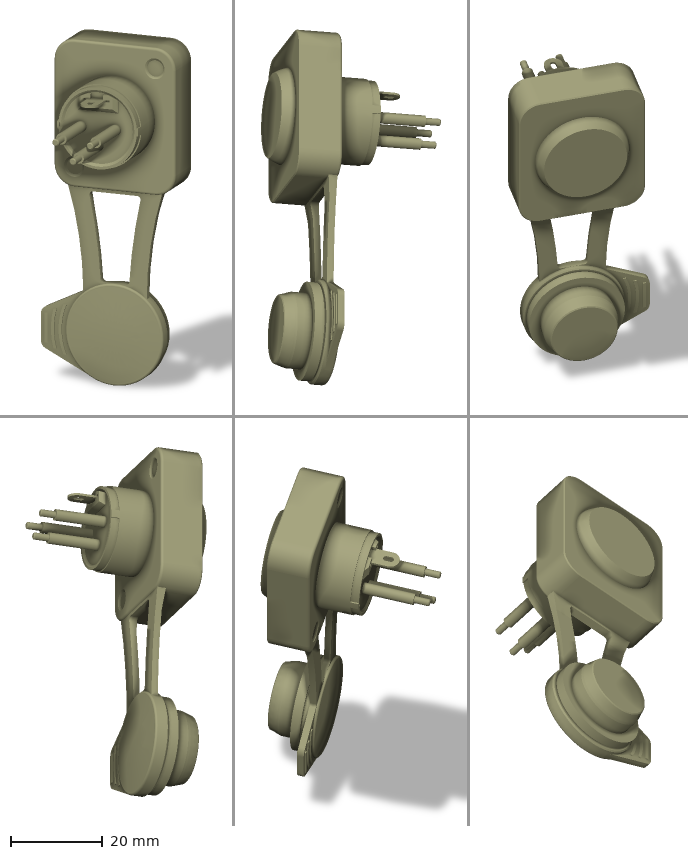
import math

import cadquery as cq


BODY_WIDTH = 28.5
BODY_HEIGHT = 33.3
BODY_DEPTH = 9.75
BODY_CORNER_RADIUS = 4.75
BODY_FRONT_FILLET = 0.6
BODY_BACK_CHAMFER = 0.25
BODY_BOTTOM = -BODY_HEIGHT / 2

COLLAR_BASE_RADIUS = 10.7
COLLAR_TIP_RADIUS = 9.4
COLLAR_HEIGHT = 2.75
COLLAR_BULGE = 0.15

SCREW_X = 9.5
SCREW_Z = 12.0
SCREW_RIM_RADIUS = 2.35
SCREW_FLOOR_RADIUS = 1.85
SCREW_DEPTH = 0.4

BARREL_RADIUS = 9.55
BARREL_SHOULDER_Y = -7.95
BARREL_END_Y = -9.8
BARREL_RING_RADIUS = 9.25
BARREL_MOUTH_RADIUS = 8.65
BARREL_RECESS_RADIUS = 8.1
BARREL_FLOOR_Y = -9.35
BARREL_KEY_WIDTH = 1.8
LIP_NOTCH_WIDTH = 1.0
LIP_NOTCH_OUTER_X = -9.1

BLOCK_HALF_WIDTH = 4.8
BLOCK_BOTTOM_Z = 3.75
BLOCK_TOP_Z = 7.75
BLOCK_BEVEL = 1.05
BLOCK_FACE_Y = -10.5

LUG_WIDTH = 4.1
LUG_THICKNESS = 0.5
LUG_Z = 6.5
LUG_TOP_Z = LUG_Z + LUG_THICKNESS / 2
LUG_BOTTOM_Z = LUG_Z - LUG_THICKNESS / 2
LUG_TIP_Y = -16.35
LUG_HOLE_LENGTH = 2.4
LUG_HOLE_WIDTH = 1.3
LUG_HOLE_Y = -13.85

LUG_SLOT_WIDTH = 6.15
UPPER_NOTCH_WIDTH = 3.0
LOWER_NOTCH_WIDTH = 2.65
LOWER_NOTCH_HEIGHT = 0.4

WIRE_CENTERS = [(4.05, 0), (-4.05, 0), (0, -3.95)]
WIRE_RADIUS = 1.25
WIRE_END_Y = -21.0
CORE_RADIUS = 0.78
CORE_END_Y = -24.5
CORE_TIP_CHAMFER = 0.2

CAP_Z = -49.15
CAP_RADIUS = 11.5
CAP_BACK_Y = 2.9
CAP_FRONT_FILLET = 0.5
CAP_BACK_CHAMFER = 0.3
DOME_RADIUS = 10.9
DOME_BASE_Y = -0.25
DOME_HEIGHT = 0.65
CAP_NECK_RADIUS = 10.4
FLANGE_RADIUS = 10.85
FLANGE_FRONT_Y = 3.25
FLANGE_BACK_Y = 5.4
PLUG_RADIUS = 8.4
PLUG_STRAIGHT_END_Y = 8.65
PLUG_TAPER_RADIUS = 8.25
PLUG_TAPER_Y = 9.25
PLUG_TIP_RADIUS = 7.55
PLUG_TIP_CHAMFER = 0.2
PLUG_BACK_Y = 11.5

SHEET_FRONT_Y = 0.35
SHEET_THICKNESS = 1.5
SHEET_BACK_Y = SHEET_FRONT_Y + SHEET_THICKNESS
STRAP_BODY_OVERLAP = 0.8
STRAP_TOP_Z = BODY_BOTTOM + STRAP_BODY_OVERLAP
STRAP_TOP_HALF_WIDTH = 11.2
STRAP_MID_HALF_WIDTH = 8.75
STRAP_MID_Z = -26.0
STRAP_LOW_HALF_WIDTH = 7.5
STRAP_LOW_Z = -42.0
WINDOW_TOP_HALF_WIDTH = 6.2
WINDOW_TOP_Z = -17.3
WINDOW_MID_HALF_WIDTH = 4.55
WINDOW_MID_Z = -26.0
WINDOW_LOW_HALF_WIDTH = 3.35
WINDOW_LOW_Z = CAP_Z + CAP_RADIUS
WINDOW_FILLET = 0.8
STRAP_ROOT_THICKENING = 0.55
STRAP_ROOT_LENGTH = 4.5
TAB_END_X = -17.45
TAB_END_HALF_HEIGHT = 4.2
TAB_CORNER_RADIUS = 1.9
TAB_STRAP_FILLET = 0.7

GRIP_RIBS = [(-16.2, 3.4, 0), (-14.65, 4.5, 0.6), (-12.85, 5.7, 1.15)]
GRIP_RIB_WIDTH = 0.7
GRIP_RIB_HEIGHT = 0.25


def sketch_plane(back_y, x=0, z=0):
    """XZ plane at back_y; extruding grows toward -Y."""
    return cq.Workplane("XZ", origin=(x, back_y, z))


def cylinder(back_y, front_y, radius, x=0, z=0):
    return sketch_plane(back_y, x, z).circle(radius).extrude(back_y - front_y)


def block(left_x, right_x, bottom_z, top_z, back_y, front_y):
    plane = sketch_plane(back_y, (left_x + right_x) / 2, (bottom_z + top_z) / 2)
    return plane.rect(right_x - left_x, top_z - bottom_z).extrude(back_y - front_y)


def cone(back_y, front_y, back_radius, front_radius, x=0, z=0):
    profile = [(0, back_y), (back_radius, back_y), (front_radius, front_y), (0, front_y)]
    turned = cq.Workplane("XY").polyline(profile).close().revolve(360, (0, 0), (0, 1))
    return turned.translate((x, 0, z))


def make_housing():
    body = sketch_plane(BODY_DEPTH).rect(BODY_WIDTH, BODY_HEIGHT).extrude(BODY_DEPTH)
    body = body.edges("|Y").fillet(BODY_CORNER_RADIUS)
    body = body.faces("<Y").edges().fillet(BODY_FRONT_FILLET)
    body = body.faces(">Y").edges().chamfer(BODY_BACK_CHAMFER)
    for side in (1, -1):
        recess = cone(SCREW_DEPTH, 0, SCREW_FLOOR_RADIUS, SCREW_RIM_RADIUS, side * SCREW_X, side * SCREW_Z)
        body = body.cut(recess)
    return body


def make_back_collar():
    tip_y = BODY_DEPTH + COLLAR_HEIGHT
    bulge_point = (
        (COLLAR_BASE_RADIUS + COLLAR_TIP_RADIUS) / 2 + COLLAR_BULGE,
        BODY_DEPTH + COLLAR_HEIGHT / 2,
    )
    return (
        cq.Workplane("XY")
        .moveTo(0, BODY_DEPTH)
        .lineTo(COLLAR_BASE_RADIUS, BODY_DEPTH)
        .threePointArc(bulge_point, (COLLAR_TIP_RADIUS, tip_y))
        .lineTo(0, tip_y)
        .close()
        .revolve(360, (0, 0), (0, 1))
    )


def make_barrel():
    barrel = cylinder(BODY_DEPTH, BARREL_SHOULDER_Y, BARREL_RADIUS)
    ring = cylinder(BARREL_SHOULDER_Y, BARREL_END_Y, BARREL_RING_RADIUS)
    keys = cylinder(BARREL_SHOULDER_Y, BARREL_END_Y, BARREL_RADIUS).intersect(
        sketch_plane(BARREL_SHOULDER_Y)
        .rect(2 * BARREL_RADIUS, BARREL_KEY_WIDTH)
        .extrude(BARREL_SHOULDER_Y - BARREL_END_Y)
    )
    recess = cone(BARREL_FLOOR_Y, BARREL_END_Y, BARREL_RECESS_RADIUS, BARREL_MOUTH_RADIUS)
    half_notch = LIP_NOTCH_WIDTH / 2
    lip_notch = block(LIP_NOTCH_OUTER_X, 0, -half_notch, half_notch, BARREL_FLOOR_Y, BARREL_END_Y)
    return barrel.union(ring).union(keys).cut(recess).cut(lip_notch)


def make_terminal_block():
    def opening(width, bottom_z, top_z):
        return block(-width / 2, width / 2, bottom_z, top_z, BARREL_FLOOR_Y, BLOCK_FACE_Y)

    terminal = opening(2 * BLOCK_HALF_WIDTH, BLOCK_BOTTOM_Z, BLOCK_TOP_Z)
    terminal = terminal.faces("<Y").edges("<Z or <X or >X").chamfer(BLOCK_BEVEL)
    terminal = terminal.cut(opening(LUG_SLOT_WIDTH, LUG_BOTTOM_Z, LUG_TOP_Z))
    terminal = terminal.cut(opening(UPPER_NOTCH_WIDTH, LUG_TOP_Z, BLOCK_TOP_Z))
    terminal = terminal.cut(opening(LOWER_NOTCH_WIDTH, LUG_BOTTOM_Z - LOWER_NOTCH_HEIGHT, LUG_BOTTOM_Z))
    return terminal.intersect(cylinder(BARREL_FLOOR_Y, BLOCK_FACE_Y, BARREL_RECESS_RADIUS))


def make_lug():
    half_width = LUG_WIDTH / 2
    round_start_y = LUG_TIP_Y + half_width
    plane = cq.Workplane("XY", origin=(0, 0, LUG_BOTTOM_Z))
    blade = (
        plane.moveTo(-half_width, BARREL_FLOOR_Y)
        .lineTo(-half_width, round_start_y)
        .threePointArc((0, LUG_TIP_Y), (half_width, round_start_y))
        .lineTo(half_width, BARREL_FLOOR_Y)
        .close()
        .extrude(LUG_THICKNESS)
    )
    hole = plane.center(0, LUG_HOLE_Y).slot2D(LUG_HOLE_LENGTH, LUG_HOLE_WIDTH, 90).extrude(LUG_THICKNESS)
    return blade.cut(hole)


def make_wire(x, z):
    insulation = cylinder(BARREL_FLOOR_Y, WIRE_END_Y, WIRE_RADIUS, x, z)
    core = cylinder(WIRE_END_Y, CORE_END_Y, CORE_RADIUS, x, z)
    core = core.faces("<Y").edges().chamfer(CORE_TIP_CHAMFER)
    return insulation.union(core)


def make_cap():
    disc = cylinder(CAP_BACK_Y, DOME_BASE_Y, CAP_RADIUS)
    disc = disc.faces("<Y").edges().fillet(CAP_FRONT_FILLET)
    disc = disc.faces(">Y").edges().chamfer(CAP_BACK_CHAMFER)
    sphere_radius = (DOME_RADIUS**2 + DOME_HEIGHT**2) / (2 * DOME_HEIGHT)
    half_radius = DOME_RADIUS / 2
    dome_peak_y = DOME_BASE_Y - DOME_HEIGHT
    half_radius_y = dome_peak_y + sphere_radius - math.sqrt(sphere_radius**2 - half_radius**2)
    dome = (
        cq.Workplane("XY")
        .moveTo(0, DOME_BASE_Y)
        .lineTo(DOME_RADIUS, DOME_BASE_Y)
        .threePointArc((half_radius, half_radius_y), (0, dome_peak_y))
        .close()
        .revolve(360, (0, 0), (0, 1))
    )
    neck = cylinder(FLANGE_FRONT_Y, CAP_BACK_Y, CAP_NECK_RADIUS)
    flange = cylinder(FLANGE_BACK_Y, FLANGE_FRONT_Y, FLANGE_RADIUS)
    plug = cylinder(PLUG_STRAIGHT_END_Y, FLANGE_BACK_Y, PLUG_RADIUS)
    shoulder = cone(PLUG_TAPER_Y, PLUG_STRAIGHT_END_Y, PLUG_TAPER_RADIUS, PLUG_RADIUS)
    tip = cone(PLUG_BACK_Y, PLUG_TAPER_Y, PLUG_TIP_RADIUS, PLUG_TAPER_RADIUS)
    tip = tip.faces(">Y").edges().chamfer(PLUG_TIP_CHAMFER)
    cap = disc
    for section in (dome, neck, flange, plug, shoulder, tip):
        cap = cap.union(section)
    return cap.translate((0, 0, CAP_Z))


def tapered_outline(top_z, top_half, mid_z, mid_half, low_z, low_half):
    """Mirror-symmetric outline whose two sides are arcs."""
    return (
        sketch_plane(SHEET_BACK_Y)
        .moveTo(-top_half, top_z)
        .threePointArc((-mid_half, mid_z), (-low_half, low_z))
        .lineTo(low_half, low_z)
        .threePointArc((mid_half, mid_z), (top_half, top_z))
        .close()
    )


def make_strap():
    strap = tapered_outline(
        STRAP_TOP_Z,
        STRAP_TOP_HALF_WIDTH,
        STRAP_MID_Z,
        STRAP_MID_HALF_WIDTH,
        STRAP_LOW_Z,
        STRAP_LOW_HALF_WIDTH,
    ).extrude(SHEET_THICKNESS)
    outline = strap.translate((0, STRAP_ROOT_THICKENING, 0))
    root = (
        cq.Workplane("YZ", origin=(-STRAP_TOP_HALF_WIDTH, 0, 0))
        .moveTo(SHEET_BACK_Y, STRAP_TOP_Z)
        .lineTo(SHEET_BACK_Y + STRAP_ROOT_THICKENING, STRAP_TOP_Z)
        .lineTo(SHEET_BACK_Y, BODY_BOTTOM - STRAP_ROOT_LENGTH)
        .close()
        .extrude(2 * STRAP_TOP_HALF_WIDTH)
        .intersect(outline)
    )
    window = (
        tapered_outline(
            WINDOW_TOP_Z,
            WINDOW_TOP_HALF_WIDTH,
            WINDOW_MID_Z,
            WINDOW_MID_HALF_WIDTH,
            WINDOW_LOW_Z,
            WINDOW_LOW_HALF_WIDTH,
        )
        .extrude(SHEET_THICKNESS)
        .edges("|Y")
        .fillet(WINDOW_FILLET)
    )
    window = window.union(window.translate((0, STRAP_ROOT_THICKENING, 0)))
    return strap.union(root).cut(window)


def make_tab():
    corner_distance = math.hypot(TAB_END_X, TAB_END_HALF_HEIGHT)
    corner_angle = math.atan2(TAB_END_HALF_HEIGHT, TAB_END_X)
    tangent_angle = corner_angle - math.acos(CAP_RADIUS / corner_distance)
    tangent_x = CAP_RADIUS * math.cos(tangent_angle)
    tangent_z = CAP_RADIUS * math.sin(tangent_angle)
    corners = [
        (TAB_END_X, TAB_END_HALF_HEIGHT),
        (tangent_x, tangent_z),
        (tangent_x, -tangent_z),
        (TAB_END_X, -TAB_END_HALF_HEIGHT),
    ]
    tab = sketch_plane(SHEET_BACK_Y).polyline(corners).close().extrude(SHEET_THICKNESS)
    tab = tab.edges("|Y and <X").fillet(TAB_CORNER_RADIUS)
    return tab.translate((0, 0, CAP_Z))


def make_strap_and_tab():
    sheet = make_strap().union(make_tab())
    corner_zone = cq.selectors.BoxSelector(
        (-STRAP_MID_HALF_WIDTH, SHEET_FRONT_Y, STRAP_LOW_Z + TAB_STRAP_FILLET),
        (-WINDOW_MID_HALF_WIDTH, SHEET_BACK_Y, WINDOW_LOW_Z - TAB_STRAP_FILLET),
    )
    sheet = sheet.edges("|Y").edges(corner_zone).fillet(TAB_STRAP_FILLET)
    for mid_x, half_height, bow in GRIP_RIBS:
        rib = make_grip_rib(mid_x, half_height, bow).translate((0, 0, CAP_Z))
        sheet = sheet.union(rib)
    return sheet


def make_grip_rib(mid_x, half_height, bow):
    half_width = GRIP_RIB_WIDTH / 2
    left = mid_x - half_width
    right = mid_x + half_width
    rib = sketch_plane(SHEET_BACK_Y + GRIP_RIB_HEIGHT).moveTo(left + bow, half_height)
    if bow:
        rib = rib.threePointArc((left, 0), (left + bow, -half_height))
        rib = rib.lineTo(right + bow, -half_height)
        rib = rib.threePointArc((right, 0), (right + bow, half_height))
    else:
        rib = rib.lineTo(left, -half_height).lineTo(right, -half_height).lineTo(right, half_height)
    return rib.close().extrude(SHEET_THICKNESS + 2 * GRIP_RIB_HEIGHT)


result = make_housing()
for piece in (make_back_collar(), make_barrel(), make_terminal_block(), make_lug()):
    result = result.union(piece)
for wire_x, wire_z in WIRE_CENTERS:
    result = result.union(make_wire(wire_x, wire_z))
for piece in (make_strap_and_tab(), make_cap()):
    result = result.union(piece)